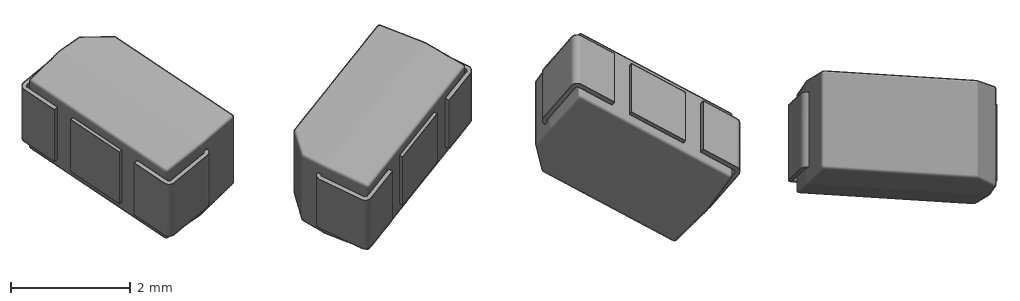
import cadquery as cq
import math

body_length = 3.2
body_height = 1.8
back_depth = 0.9
mount_depth = 0.82
draft_angle = 3.0
corner_chamfer = 0.405
body_fillet = 0.05

overall_length = 3.4
lead_thickness = 0.078
lead_width = 1.3
bend_radius = 0.12
foot_length = 0.8
lead_top = 0.163
tab_embed = 0.102
pad_length = 1.1
pad_thickness = 0.06

lead_bottom = -(mount_depth + lead_thickness)
half_length = overall_length / 2
inner_bend_radius = bend_radius - lead_thickness


def tapered_half(depth, direction):
    """Half of the body, from the parting plane along +Y or -Y."""
    plane = cq.Plane(origin=(0, 0, 0), xDir=(1, 0, 0), normal=(0, direction, 0))
    return cq.Workplane(plane).rect(body_length, body_height).extrude(depth, taper=draft_angle)


def corner_cutter():
    """Triangular prism along Z that cuts the -X, +Y corner at 45 degrees."""
    back_corner_x = -body_length / 2 + back_depth * math.tan(math.radians(draft_angle))
    reach = 2 * corner_chamfer
    cut_x = back_corner_x + corner_chamfer
    return (
        cq.Workplane("XY")
        .moveTo(cut_x, back_depth)
        .lineTo(cut_x - reach, back_depth)
        .lineTo(cut_x - reach, back_depth - reach)
        .close()
        .extrude(body_height, both=True)
    )


def off_parting_plane(edge):
    """True for every edge except the seam around the body at Y = 0."""
    return abs(edge.Center().y) > body_fillet


def make_body():
    body = tapered_half(back_depth, 1).union(tapered_half(mount_depth, -1))
    body = body.cut(corner_cutter())
    return body.edges().filter(off_parting_plane).fillet(body_fillet)


def rounded_slab(length, depth, radius):
    """Block with its -X, -Y corner at the origin and both -X corners rounded."""
    block = cq.Workplane("XY").box(length, depth, lead_width, centered=(False, False, True))
    return block.edges("|Z and <X").fillet(radius)


def make_lead():
    """Terminal at the -X end: tab into the body, upright, and foot under the body."""
    lead_depth = lead_top - lead_bottom
    tab_length = half_length - body_length / 2 + tab_embed
    opening = rounded_slab(foot_length, lead_depth - 2 * lead_thickness, inner_bend_radius)
    opening = opening.translate((lead_thickness, lead_thickness, 0))
    beyond_tab = (
        cq.Workplane("XY")
        .box(foot_length, lead_thickness, lead_width, centered=(False, False, True))
        .translate((tab_length, lead_depth - lead_thickness, 0))
    )
    lead = rounded_slab(foot_length, lead_depth, bend_radius).cut(opening).cut(beyond_tab)
    return lead.translate((-half_length, lead_bottom, 0))


def make_pad():
    return (
        cq.Workplane("XY")
        .box(pad_length, pad_thickness, lead_width)
        .translate((0, -mount_depth - pad_thickness / 2, 0))
    )


left_lead = make_lead()
right_lead = left_lead.mirror("YZ")
result = make_body().union(left_lead).union(right_lead).union(make_pad())